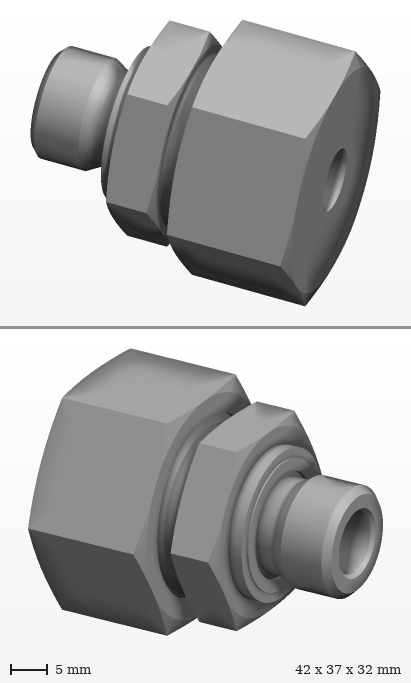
import cadquery as cq
import math

TOTAL_LENGTH = 42.0
BORE_DIAMETER = 9.0
BORE_CHAMFER = 0.5

AXIS_START = (0, 0, 0)
AXIS_END = (1, 0, 0)

THREAD_DIAMETER = 16.0
THREAD_CHAMFER = 1.0
THREAD_END = 7.45
RUNOUT_ANGLE = math.radians(30)
RUNOUT_FILLET = 1.0
NECK_DIAMETER = 13.8

FLANGE_DIAMETER = 21.85
FLANGE_START = 11.93
SEAL_DIAMETER = 19.0
SEAL_INNER_DIAMETER = 15.37
SEAT_CONE_ANGLE = math.radians(65)
SEAL_PROTRUSION = 0.25
SEAL_THICKNESS = 1.5

BODY_HEX_START = 14.0
BODY_HEX_END = 21.0
BODY_HEX_FLATS = 27.0

COLLAR_DIAMETER = 23.77
COLLAR_FILLET = 0.55
FLARE_START = 23.65
FLARE_ANGLE = math.radians(30)
FLARE_DIAMETER = 24.95
SHOULDER_ANGLE = math.radians(60)
STUD_DIAMETER = 26.2

NUT_START = 24.02
NUT_FLATS = 32.0

HEX_CHAMFER_ANGLE = math.radians(15)

bore_radius = BORE_DIAMETER / 2
thread_radius = THREAD_DIAMETER / 2
neck_radius = NECK_DIAMETER / 2
collar_radius = COLLAR_DIAMETER / 2
stud_radius = STUD_DIAMETER / 2
flare_radius = FLARE_DIAMETER / 2
flare_end = FLARE_START + (flare_radius - collar_radius) / math.tan(FLARE_ANGLE)
shoulder_end = flare_end + (stud_radius - flare_radius) / math.tan(SHOULDER_ANGLE)
seal_start = FLANGE_START - SEAL_PROTRUSION
seal_inner_radius = SEAL_INNER_DIAMETER / 2
seat_cone_end = FLANGE_START + (seal_inner_radius - neck_radius) / math.tan(SEAT_CONE_ANGLE)
seal_end = seal_start + SEAL_THICKNESS


def cylinder(start, end, diameter):
    """Solid cylinder along X."""
    return cq.Workplane("YZ", origin=(start, 0, 0)).circle(diameter / 2).extrude(end - start)


def ring(start, end, outer_diameter, inner_diameter):
    """Plain ring along X."""
    return cylinder(start, end, outer_diameter).cut(cylinder(start, end, inner_diameter))


def chamfered_hexagon(start, end, flats):
    """Hexagonal prism along X, corners in +Y and -Y, with both ends turned to a shallow cone."""
    length = end - start
    flat_radius = flats / 2
    corner_radius = flat_radius / math.cos(math.pi / 6)
    chamfer_depth = (corner_radius - flat_radius) * math.tan(HEX_CHAMFER_ANGLE)
    prism = cq.Workplane("YZ", origin=(start, 0, 0)).polygon(6, 2 * corner_radius).extrude(length)
    envelope = (
        cq.Workplane("XY")
        .moveTo(start, 0)
        .lineTo(start, flat_radius)
        .lineTo(start + chamfer_depth, corner_radius)
        .lineTo(end - chamfer_depth, corner_radius)
        .lineTo(end, flat_radius)
        .lineTo(end, 0)
        .close()
        .revolve(360, AXIS_START, AXIS_END)
    )
    return prism.intersect(envelope)


def turned_profile():
    """Round parts of the body, from spigot to stud, as one revolved outline."""
    fillet_start_radius = neck_radius + RUNOUT_FILLET * (1 - math.cos(RUNOUT_ANGLE))
    fillet_start = THREAD_END + (thread_radius - fillet_start_radius) / math.tan(RUNOUT_ANGLE)
    fillet_end = fillet_start + RUNOUT_FILLET * math.sin(RUNOUT_ANGLE)
    fillet_mid = (
        fillet_end - RUNOUT_FILLET * math.sin(RUNOUT_ANGLE / 2),
        neck_radius + RUNOUT_FILLET * (1 - math.cos(RUNOUT_ANGLE / 2)),
    )
    collar_mid = (
        BODY_HEX_END + COLLAR_FILLET * (1 - math.sin(math.pi / 4)),
        collar_radius + COLLAR_FILLET * (1 - math.cos(math.pi / 4)),
    )
    return (
        cq.Workplane("XY")
        .moveTo(0, 0)
        .lineTo(0, thread_radius - THREAD_CHAMFER)
        .lineTo(THREAD_CHAMFER, thread_radius)
        .lineTo(THREAD_END, thread_radius)
        .lineTo(fillet_start, fillet_start_radius)
        .threePointArc(fillet_mid, (fillet_end, neck_radius))
        .lineTo(FLANGE_START, neck_radius)
        .lineTo(seat_cone_end, seal_inner_radius)
        .lineTo(seal_end, seal_inner_radius)
        .lineTo(seal_end, SEAL_DIAMETER / 2)
        .lineTo(FLANGE_START, SEAL_DIAMETER / 2)
        .lineTo(FLANGE_START, FLANGE_DIAMETER / 2)
        .lineTo(BODY_HEX_END, FLANGE_DIAMETER / 2)
        .lineTo(BODY_HEX_END, collar_radius + COLLAR_FILLET)
        .threePointArc(collar_mid, (BODY_HEX_END + COLLAR_FILLET, collar_radius))
        .lineTo(FLARE_START, collar_radius)
        .lineTo(flare_end, flare_radius)
        .lineTo(shoulder_end, stud_radius)
        .lineTo(TOTAL_LENGTH, stud_radius)
        .lineTo(TOTAL_LENGTH, 0)
        .close()
        .revolve(360, AXIS_START, AXIS_END)
    )


def through_bore():
    """Bore through the whole body, chamfered at the spigot mouth."""
    return (
        cq.Workplane("XY")
        .moveTo(0, 0)
        .lineTo(0, bore_radius + BORE_CHAMFER)
        .lineTo(BORE_CHAMFER, bore_radius)
        .lineTo(TOTAL_LENGTH, bore_radius)
        .lineTo(TOTAL_LENGTH, 0)
        .close()
        .revolve(360, AXIS_START, AXIS_END)
    )


def make_body():
    """Screw-in body with spigot, flange, hexagon and stud."""
    solid = turned_profile().union(chamfered_hexagon(BODY_HEX_START, BODY_HEX_END, BODY_HEX_FLATS))
    return solid.cut(through_bore())


def make_seal_ring():
    """Seal ring seated in the flange recess and standing slightly proud of it."""
    return ring(seal_start, seal_end, SEAL_DIAMETER, SEAL_INNER_DIAMETER)


def make_nut():
    """Union nut fitted over the stud."""
    nut_hexagon = chamfered_hexagon(NUT_START, TOTAL_LENGTH, NUT_FLATS)
    return nut_hexagon.cut(cylinder(NUT_START, TOTAL_LENGTH, STUD_DIAMETER))


body = make_body()
seal_ring = make_seal_ring()
nut = make_nut()

result = cq.Compound.makeCompound([body.solids().val(), seal_ring.solids().val(), nut.solids().val()])